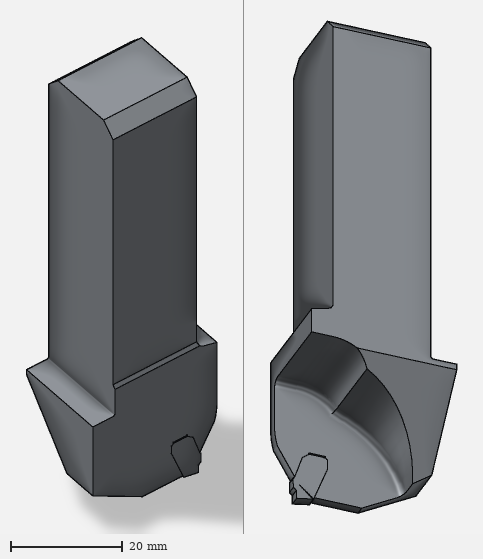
import cadquery as cq
import math

WIDTH_X = 19.5
WIDTH_Y = 28.15
HEIGHT = 92.9

SHANK = 18.95
SHANK_FRONT_Y = 5.0
SHANK_BACK_Y = SHANK_FRONT_Y + SHANK
TOP_CHAMFER = 2.8

FRONT_SHOULDER_Z = 24.1
SHOULDER_FILLET = 0.5
BACK_SHOULDER_Z = 29.1
BACK_SLOPE_DEG = 15.0
BACK_FILLET = 1.4
BLADE_BOTTOM_Z = 1.1
FRONT_CORNER_Z = 7.4
BOTTOM_FRONT_Y = 11.2
FLANK_TOP_Z = 13.8
FLANK_TANGENT = (27.6, 10.4)
FLANK_BLEND = (28.0, 12.1)
FLANK_END_Y = 22.2
HEAD_STEP_BOTTOM_Z = 30.4
HEAD_STEP_TOP_Z = 31.1

BLADE_FACE_X = 17.65
WALL_TOP_Z = 24.2
WALL_FILLET = 1.6
DISC_RADIUS = 21.55
WALL_UPPER_RADIUS = 8.9
BEVEL_TOP_Z = 22.85
BEVEL_POINT = (13.1, 5.85)
MARGIN = 1.9

INSERT_TOP_Z = 10.1
INSERT_TOP_FRONT_Y = 18.3
INSERT_TOP_BACK_Y = 21.5
SEAT_GAP = 0.3
TIP_Y = 24.0
TIP_BACK_Y = 24.5
TIP_BACK_Z = 2.3
TIP_NOTCH_Z = 1.8
INSERT_FRONT_FOOT = (20.6, 0.65)
RAMP_TOP_Z = 3.2
RAMP_CORNER_Y = 23.3
RAMP_RISE = 0.3


def yz_outline(y, z, x=0.0):
    """Start an outline in a plane of constant X, using (Y, Z) points."""
    return cq.Workplane("YZ", origin=(x, 0, 0)).moveTo(y, z)


def yz_prism(points, x, length):
    """Extrude a polygon of (Y, Z) points along X, starting at the given X."""
    return cq.Workplane("YZ", origin=(x, 0, 0)).polyline(points).close().extrude(length)


def make_side_profile():
    """Shank and head as seen along X, over the full width."""
    slope = math.radians(BACK_SLOPE_DEG)
    arc_y = SHANK_BACK_Y + BACK_FILLET
    slope_y = arc_y - BACK_FILLET * math.sin(slope)
    slope_z = BACK_SHOULDER_Z + (WIDTH_Y - slope_y) * math.tan(slope)
    arc_z = slope_z + BACK_FILLET * math.cos(slope)
    mid_angle = (math.pi / 2 - slope) / 2
    arc_mid = (arc_y - BACK_FILLET * math.cos(mid_angle), arc_z - BACK_FILLET * math.sin(mid_angle))
    return (
        yz_outline(0, FRONT_CORNER_Z)
        .lineTo(0, FRONT_SHOULDER_Z)
        .lineTo(SHANK_FRONT_Y - SHOULDER_FILLET, FRONT_SHOULDER_Z)
        .radiusArc((SHANK_FRONT_Y, FRONT_SHOULDER_Z + SHOULDER_FILLET), -SHOULDER_FILLET)
        .lineTo(SHANK_FRONT_Y, HEIGHT)
        .lineTo(SHANK_BACK_Y, HEIGHT)
        .lineTo(SHANK_BACK_Y, arc_z)
        .threePointArc(arc_mid, (slope_y, slope_z))
        .lineTo(WIDTH_Y, BACK_SHOULDER_Z)
        .lineTo(WIDTH_Y, FLANK_TOP_Z)
        .threePointArc(FLANK_BLEND, FLANK_TANGENT)
        .lineTo(FLANK_END_Y, BLADE_BOTTOM_Z)
        .lineTo(BOTTOM_FRONT_Y, BLADE_BOTTOM_Z)
        .close()
        .extrude(WIDTH_X)
    )


def make_front_profile():
    """Chamfered shank, wider head and sloping underside as seen along Y."""
    bevel_slope = (BEVEL_TOP_Z - BEVEL_POINT[1]) / BEVEL_POINT[0]
    bevel_end_x = BEVEL_TOP_Z / bevel_slope
    outline = [
        (0, BEVEL_TOP_Z),
        (0, HEIGHT - TOP_CHAMFER),
        (TOP_CHAMFER, HEIGHT),
        (SHANK - TOP_CHAMFER, HEIGHT),
        (SHANK, HEIGHT - TOP_CHAMFER),
        (SHANK, HEAD_STEP_TOP_Z),
        (WIDTH_X, HEAD_STEP_BOTTOM_Z),
        (WIDTH_X, 0),
        (bevel_end_x, 0),
    ]
    return cq.Workplane("XZ").polyline(outline).close().extrude(-WIDTH_Y)


def make_rounded_clearance(top_z, radius):
    """Block beside the blade, rounded towards the front about the tip; its rim leaves a wall fillet."""
    outside_y = WIDTH_Y + MARGIN
    front_y = TIP_Y - radius
    center_z = top_z - radius
    arc_mid = (TIP_Y - radius * math.sqrt(0.5), center_z + radius * math.sqrt(0.5))
    block = (
        yz_outline(outside_y, top_z, -MARGIN)
        .lineTo(TIP_Y, top_z)
        .threePointArc(arc_mid, (front_y, center_z))
        .lineTo(front_y, -MARGIN)
        .lineTo(outside_y, -MARGIN)
        .close()
        .extrude(BLADE_FACE_X + MARGIN)
    )
    rim_start = (BLADE_FACE_X - MARGIN / 2, front_y - MARGIN, -MARGIN / 2)
    rim_end = (BLADE_FACE_X + MARGIN / 2, WIDTH_Y, top_z + MARGIN)
    return block.edges(cq.selectors.BoxSelector(rim_start, rim_end)).fillet(WALL_FILLET)


def make_blade_clearance():
    """Workpiece clearance disc joined to a taller, tighter round behind it."""
    disc = make_rounded_clearance(DISC_RADIUS, DISC_RADIUS)
    return disc.union(make_rounded_clearance(WALL_TOP_Z, WALL_UPPER_RADIUS))


def make_insert():
    """Slanted insert filling the blade thickness, with a raised ramp at its tip."""
    outline = [
        (TIP_Y, 0),
        INSERT_FRONT_FOOT,
        (17.8, 7.9),
        (17.8, 9.7),
        (INSERT_TOP_FRONT_Y, INSERT_TOP_Z),
        (INSERT_TOP_BACK_Y, INSERT_TOP_Z),
        (22.8, 9.1),
        (24.25, 4.6),
        (TIP_BACK_Y, 4.4),
        (TIP_BACK_Y, TIP_BACK_Z),
        (TIP_Y, TIP_NOTCH_Z),
    ]
    thickness = WIDTH_X - BLADE_FACE_X
    blank = yz_prism(outline, BLADE_FACE_X, thickness)
    ramp_area = [
        (TIP_BACK_Y, RAMP_TOP_Z),
        (RAMP_CORNER_Y, RAMP_TOP_Z),
        INSERT_FRONT_FOOT,
        (TIP_Y, 0),
        (TIP_Y, TIP_NOTCH_Z),
        (TIP_BACK_Y, TIP_BACK_Z),
    ]
    ramp_block = yz_prism(ramp_area, BLADE_FACE_X - RAMP_RISE, thickness)
    ramp_side = [(BLADE_FACE_X, RAMP_TOP_Z), (BLADE_FACE_X - RAMP_RISE, 0), (WIDTH_X, 0)]
    ramp_wedge = cq.Workplane("XZ").polyline(ramp_side).close().extrude(-WIDTH_Y)
    return blank.union(ramp_block.intersect(ramp_wedge))


def make_seat_gap():
    """Narrow relief above the top of the insert."""
    return (
        cq.Workplane("XY")
        .box(WIDTH_X - BLADE_FACE_X, INSERT_TOP_BACK_Y - INSERT_TOP_FRONT_Y, SEAT_GAP, centered=False)
        .translate((BLADE_FACE_X, INSERT_TOP_FRONT_Y, INSERT_TOP_Z))
    )


insert = make_insert()
holder = make_side_profile().intersect(make_front_profile()).cut(make_blade_clearance())
holder = holder.cut(insert).cut(make_seat_gap())

result = cq.Compound.makeCompound([holder.val(), insert.val()])